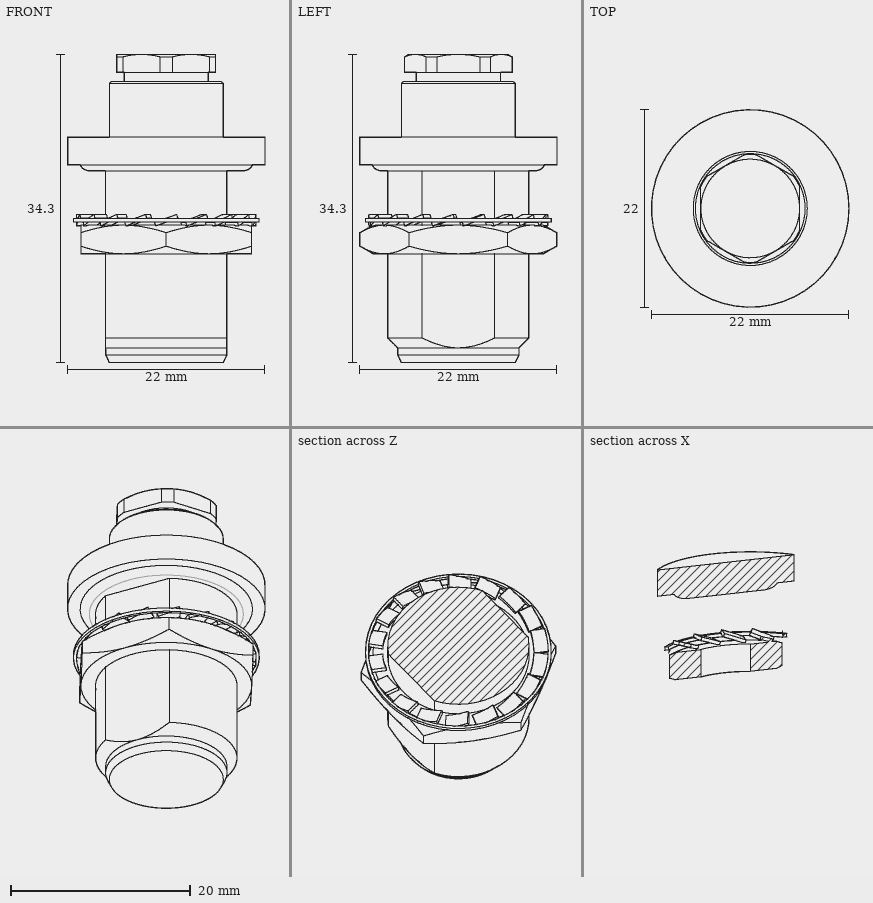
import cadquery as cq
import math

TIP_TAPER_TOP = 0.85
TIP_TOP = 1.65
BARREL_CHAMFER_TOP = 2.75
NUT_BOTTOM = 12.1
WASHER_MIDDLE = 15.85
SEAL_BOTTOM = 21.35
FLANGE_BOTTOM = 22.0
FLANGE_TOP = 25.07
SLEEVE_TOP = 31.28
HEAD_BOTTOM = 32.28
TOTAL_HEIGHT = 34.3

BARREL_RADIUS = 15.75 / 2
BARREL_FLATS = 13.5
TIP_RADIUS = BARREL_FLATS / 2
TIP_END_RADIUS = 12.7 / 2
SEAL_RADIUS = 19.17 / 2
SEAL_FACE_RADIUS = 8.58
FLANGE_RADIUS = 22.0 / 2
SLEEVE_RADIUS = 12.7 / 2
SLEEVE_CHAMFER = 0.25
NECK_RADIUS = 9.4 / 2

HEX_CORNER_RATIO = 1 / math.cos(math.radians(30))
HEX_CHAMFER_SLOPE = math.tan(math.radians(30))
HEAD_FLATS = 11.0
HEAD_CORNER_RADIUS = 12.0 / 2
HEAD_FACE_RADIUS = 10.98 / 2
NUT_FLATS = 19.0
NUT_HEIGHT = 3.2

RING_OUTER_RADIUS = 20.7 / 2
RING_INNER_RADIUS = 20.0 / 2
RING_THICKNESS = 0.4
TEETH_INNER_RADIUS = 8.4
TOOTH_COUNT = 18
FIRST_TOOTH_ANGLE = -90
TOOTH_WIDTH = 2.6
TOOTH_TILT = 20.0


def cylinder(radius, bottom, height):
    return cq.Workplane("XY").workplane(offset=bottom).circle(radius).extrude(height)


def hexagon(across_flats, bottom, height):
    """Hexagonal prism with two corners on the Y axis."""
    prism = cq.Workplane("XY").polygon(6, across_flats * HEX_CORNER_RATIO).extrude(height)
    return prism.rotate((0, 0, 0), (0, 0, 1), 90).translate((0, 0, bottom))


def revolve_profile(profile):
    """Turn a closed radius-height outline about the Z axis."""
    return profile.close().revolve(360, (0, 0, 0), (0, 1, 0))


def make_barrel():
    """Lower barrel with tapered tip and two long flats ending at the tip."""
    tip = revolve_profile(
        cq.Workplane("XZ")
        .lineTo(TIP_END_RADIUS, 0)
        .lineTo(TIP_RADIUS, TIP_TAPER_TOP)
        .lineTo(TIP_RADIUS, TIP_TOP)
        .lineTo(0, TIP_TOP)
    )
    barrel = revolve_profile(
        cq.Workplane("XZ")
        .moveTo(0, TIP_TOP)
        .lineTo(TIP_RADIUS, TIP_TOP)
        .lineTo(BARREL_RADIUS, BARREL_CHAMFER_TOP)
        .lineTo(BARREL_RADIUS, FLANGE_BOTTOM)
        .lineTo(0, FLANGE_BOTTOM)
    )
    flats = cq.Workplane("XY").box(
        BARREL_FLATS, 2 * BARREL_RADIUS, FLANGE_BOTTOM, centered=(True, True, False)
    )
    return barrel.intersect(flats).union(tip)


def make_upper_body():
    """Rounded seal, flange, chamfered sleeve and neck."""
    return revolve_profile(
        cq.Workplane("XZ")
        .moveTo(0, SEAL_BOTTOM)
        .lineTo(SEAL_FACE_RADIUS, SEAL_BOTTOM)
        .tangentArcPoint((SEAL_RADIUS, FLANGE_BOTTOM), relative=False)
        .lineTo(FLANGE_RADIUS, FLANGE_BOTTOM)
        .lineTo(FLANGE_RADIUS, FLANGE_TOP)
        .lineTo(SLEEVE_RADIUS, FLANGE_TOP)
        .lineTo(SLEEVE_RADIUS, SLEEVE_TOP - SLEEVE_CHAMFER)
        .lineTo(SLEEVE_RADIUS - SLEEVE_CHAMFER, SLEEVE_TOP)
        .lineTo(NECK_RADIUS, SLEEVE_TOP)
        .lineTo(NECK_RADIUS, HEAD_BOTTOM)
        .lineTo(0, HEAD_BOTTOM)
    )


def make_head():
    """Top hexagon with corners trimmed round and chamfered on the upper face."""
    drop = (HEAD_CORNER_RADIUS - HEAD_FACE_RADIUS) * HEX_CHAMFER_SLOPE
    envelope = revolve_profile(
        cq.Workplane("XZ")
        .moveTo(0, HEAD_BOTTOM)
        .lineTo(HEAD_CORNER_RADIUS, HEAD_BOTTOM)
        .lineTo(HEAD_CORNER_RADIUS, TOTAL_HEIGHT - drop)
        .lineTo(HEAD_FACE_RADIUS, TOTAL_HEIGHT)
        .lineTo(0, TOTAL_HEIGHT)
    )
    return hexagon(HEAD_FLATS, HEAD_BOTTOM, TOTAL_HEIGHT - HEAD_BOTTOM).intersect(envelope)


def make_nut():
    """Hexagon nut chamfered on both faces, bored to the barrel diameter."""
    face_radius = NUT_FLATS / 2
    corner_radius = face_radius * HEX_CORNER_RATIO
    drop = (corner_radius - face_radius) * HEX_CHAMFER_SLOPE
    nut_top = NUT_BOTTOM + NUT_HEIGHT
    envelope = revolve_profile(
        cq.Workplane("XZ")
        .moveTo(0, NUT_BOTTOM)
        .lineTo(face_radius, NUT_BOTTOM)
        .lineTo(corner_radius, NUT_BOTTOM + drop)
        .lineTo(corner_radius, nut_top - drop)
        .lineTo(face_radius, nut_top)
        .lineTo(0, nut_top)
    )
    bore = cylinder(BARREL_RADIUS, NUT_BOTTOM, NUT_HEIGHT)
    return hexagon(NUT_FLATS, NUT_BOTTOM, NUT_HEIGHT).intersect(envelope).cut(bore)


def make_lock_washer():
    """Thin ring carrying inward teeth, each tilted about its own radial axis."""
    ring_bottom = WASHER_MIDDLE - RING_THICKNESS / 2
    ring = cylinder(RING_OUTER_RADIUS, ring_bottom, RING_THICKNESS)
    ring = ring.cut(cylinder(RING_INNER_RADIUS, ring_bottom, RING_THICKNESS))

    bar = (
        cq.Workplane("XY")
        .box(RING_OUTER_RADIUS, TOOTH_WIDTH, RING_THICKNESS, centered=(False, True, True))
        .rotate((0, 0, 0), (1, 0, 0), TOOTH_TILT)
        .translate((0, 0, WASHER_MIDDLE))
    )
    trim_bottom = WASHER_MIDDLE - TOOTH_WIDTH / 2
    annulus = cylinder(RING_INNER_RADIUS, trim_bottom, TOOTH_WIDTH)
    annulus = annulus.cut(cylinder(TEETH_INNER_RADIUS, trim_bottom, TOOTH_WIDTH))
    tooth = bar.intersect(annulus)

    washer = ring
    for index in range(TOOTH_COUNT):
        angle = FIRST_TOOTH_ANGLE + index * 360 / TOOTH_COUNT
        washer = washer.union(tooth.rotate((0, 0, 0), (0, 0, 1), angle))
    return washer


result = (
    make_barrel()
    .union(make_upper_body())
    .union(make_head())
    .union(make_nut())
    .union(make_lock_washer())
)